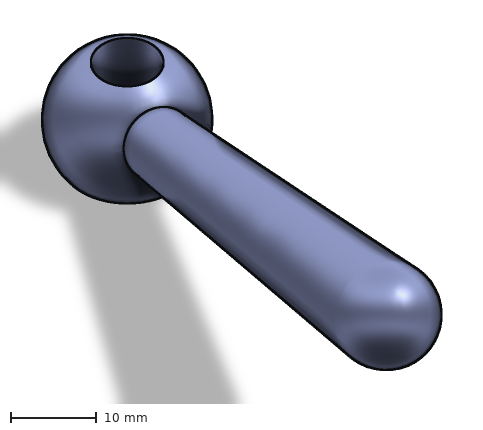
import cadquery as cq
import math

ball_radius = 10.0
base_depth = 6.0
bore_diameter = 8.5

grip_angle = 20.0
grip_reach = 80.0
neck_radius = 4.5
tip_radius = 6.5

tip_centre = grip_reach - tip_radius
neck_distance = math.sqrt(ball_radius**2 - neck_radius**2)


def make_ball():
    """Ball cut flat at the base."""
    ball = cq.Workplane("XY").sphere(ball_radius)
    keep = cq.Workplane("XY").workplane(offset=-base_depth).rect(2 * ball_radius, 2 * ball_radius)
    return ball.intersect(keep.extrude(base_depth + ball_radius))


def make_grip():
    """Cone running tangentially into a spherical tip, revolved about X and then tilted."""
    tip_distance = tip_centre - neck_distance
    half_angle = math.asin(tip_radius / math.hypot(tip_distance, neck_radius)) - math.atan2(
        neck_radius, tip_distance
    )
    tangent_point = (
        tip_centre - tip_radius * math.sin(half_angle),
        tip_radius * math.cos(half_angle),
    )
    mid_angle = math.radians(45)
    arc_middle = (
        tip_centre + tip_radius * math.cos(mid_angle),
        tip_radius * math.sin(mid_angle),
    )
    profile = (
        cq.Workplane("XZ")
        .moveTo(neck_distance, 0)
        .lineTo(neck_distance, neck_radius)
        .lineTo(*tangent_point)
        .threePointArc(arc_middle, (grip_reach, 0))
        .close()
    )
    grip = profile.revolve(360, (0, 0), (1, 0))
    return grip.rotate((0, 0, 0), (0, 1, 0), -grip_angle)


def make_bore():
    """Vertical cutter that passes right through the ball."""
    bottom = cq.Workplane("XY").workplane(offset=-ball_radius)
    return bottom.circle(bore_diameter / 2).extrude(2 * ball_radius)


result = make_ball().union(make_grip()).cut(make_bore())